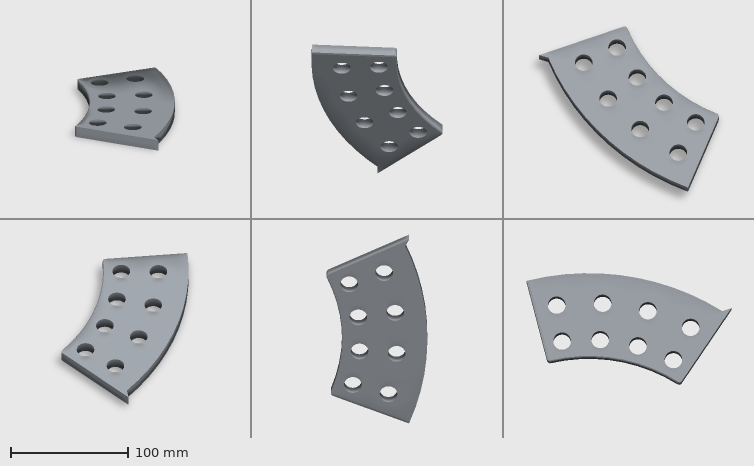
import cadquery as cq
import math

thickness = 9.5
sector_angle = 48.0
end_reach = 158.2
outer_radius = end_reach / math.sin(math.radians(sector_angle))
inner_radius = 140.1

tooth_tip_radius = 219.2
tooth_height = 4.9

corner_radius = 2.8
inner_chamfer = 0.8
end_bevel_width = 1.7
end_bevel_depth = 0.5

hole_diameter = 15.0
hole_row_radii = (155.5, 187.1)
holes_per_row = 4
hole_pitch_angle = sector_angle / holes_per_row


def polar(radius, angle):
    """Point at a radius and an angle in degrees about the ring center."""
    return (
        radius * math.cos(math.radians(angle)),
        radius * math.sin(math.radians(angle)),
    )


def make_plate():
    """Ring sector with its tooth and rounded inner corners."""
    tooth_root_angle = math.degrees(math.asin(tooth_height / outer_radius))
    outer_middle_angle = (tooth_root_angle + sector_angle) / 2
    inner_start = polar(inner_radius, 0)
    inner_end = polar(inner_radius, sector_angle)
    plate = (
        cq.Workplane("XY")
        .moveTo(*inner_start)
        .lineTo(tooth_tip_radius, 0)
        .lineTo(*polar(outer_radius, tooth_root_angle))
        .threePointArc(
            polar(outer_radius, outer_middle_angle), polar(outer_radius, sector_angle)
        )
        .lineTo(*inner_end)
        .threePointArc(polar(inner_radius, sector_angle / 2), inner_start)
        .close()
        .extrude(thickness)
    )
    for corner in (inner_start, inner_end):
        corner_edge = cq.selectors.NearestToPointSelector((*corner, thickness / 2))
        plate = plate.edges(corner_edge).fillet(corner_radius)
    return plate


def make_end_bevel():
    """Two wedges that bevel the top and bottom edges of the slanted end."""
    bottom_wedge = (
        cq.Workplane("YZ")
        .polyline([(0, 0), (-end_bevel_width, 0), (0, end_bevel_depth)])
        .close()
        .extrude(tooth_tip_radius)
    )
    top_wedge = bottom_wedge.mirror("XY").translate((0, 0, thickness))
    return bottom_wedge.union(top_wedge).rotate((0, 0, 0), (0, 0, 1), sector_angle)


def make_holes():
    """Two concentric rows of through holes, half a pitch in from each end."""
    centers = [
        polar(radius, (index + 0.5) * hole_pitch_angle)
        for radius in hole_row_radii
        for index in range(holes_per_row)
    ]
    return cq.Workplane("XY").pushPoints(centers).circle(hole_diameter / 2).extrude(thickness)


def make_inner_chamfer_cutter():
    """Conical rings that chamfer the top and bottom edges of the inner arc."""
    bottom_ring = (
        cq.Workplane("XZ")
        .polyline(
            [
                (inner_radius, 0),
                (inner_radius + inner_chamfer, 0),
                (inner_radius, inner_chamfer),
            ]
        )
        .close()
        .revolve(360, (0, 0, 0), (0, 1, 0))
    )
    top_ring = bottom_ring.mirror("XY").translate((0, 0, thickness))
    return bottom_ring.union(top_ring)


result = (
    make_plate()
    .cut(make_inner_chamfer_cutter())
    .cut(make_end_bevel())
    .cut(make_holes())
)